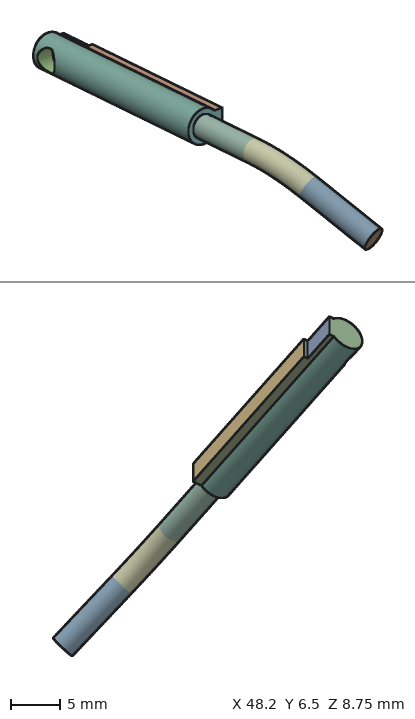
import cadquery as cq
import math

housing_length = 24.45
housing_diameter = 4.0
rib_width = 2.7
rib_reach = 2.5
notch_length = 4.0
notch_depth = 0.5

hole_diameter = 2.7
hole_from_end = 2.0
hole_floor_y = 0.0

cable_diameter = 2.7
cable_lead_length = 7.95
cable_bend_radius = 15.0
cable_bend_angle = 30.0
cable_tail_length = 8.75
bend_plane_tilt = 30.0

housing_radius = housing_diameter / 2


def make_key_rib():
    rib = cq.Workplane("XY").box(
        housing_length, rib_reach, rib_width, centered=(False, False, True)
    )
    notch = (
        cq.Workplane("XY")
        .box(notch_length, notch_depth, rib_width, centered=(False, False, True))
        .translate((0, rib_reach - notch_depth, 0))
    )
    return rib.cut(notch)


def make_blind_hole():
    hole_depth = housing_radius + hole_floor_y
    return (
        cq.Workplane("XZ", origin=(hole_from_end, hole_floor_y, 0))
        .circle(hole_diameter / 2)
        .extrude(hole_depth)
    )


def make_housing():
    bar = cq.Workplane("YZ").circle(housing_radius).extrude(housing_length)
    return bar.union(make_key_rib()).cut(make_blind_hole())


def make_cable():
    bend = math.radians(cable_bend_angle)
    tilt = math.radians(bend_plane_tilt)

    bend_plane = cq.Plane(
        origin=(housing_length, 0, 0),
        xDir=(1, 0, 0),
        normal=(0, math.cos(tilt), math.sin(tilt)),
    )

    def point_on_bend(angle):
        return (
            cable_lead_length + cable_bend_radius * math.sin(angle),
            cable_bend_radius * (1 - math.cos(angle)),
        )

    bend_end = point_on_bend(bend)
    tail_end = (
        bend_end[0] + cable_tail_length * math.cos(bend),
        bend_end[1] + cable_tail_length * math.sin(bend),
    )
    path = (
        cq.Workplane(bend_plane)
        .lineTo(cable_lead_length, 0)
        .threePointArc(point_on_bend(bend / 2), bend_end)
        .lineTo(*tail_end)
    )
    return (
        cq.Workplane("YZ", origin=(housing_length, 0, 0))
        .circle(cable_diameter / 2)
        .sweep(path)
    )


housing = make_housing()
cable = make_cable()

result = cq.Compound.makeCompound([housing.val(), cable.val()])